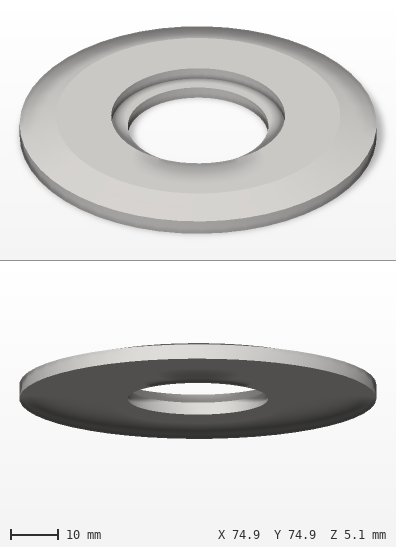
import cadquery as cq

outer_diameter = 74.9
top_face_diameter = 59.7
counterbore_diameter = 36.5
bore_diameter = 29.5
thickness = 5.1
rim_height = 3.1
counterbore_depth = 2.55

outer_radius = outer_diameter / 2
top_face_radius = top_face_diameter / 2
counterbore_radius = counterbore_diameter / 2
bore_radius = bore_diameter / 2
ledge_height = thickness - counterbore_depth

section = (
    cq.Workplane("XZ")
    .moveTo(bore_radius, 0)
    .lineTo(outer_radius, 0)
    .lineTo(outer_radius, rim_height)
    .lineTo(top_face_radius, thickness)
    .lineTo(counterbore_radius, thickness)
    .lineTo(counterbore_radius, ledge_height)
    .lineTo(bore_radius, ledge_height)
    .close()
)

result = section.revolve(360, (0, 0), (0, 1))